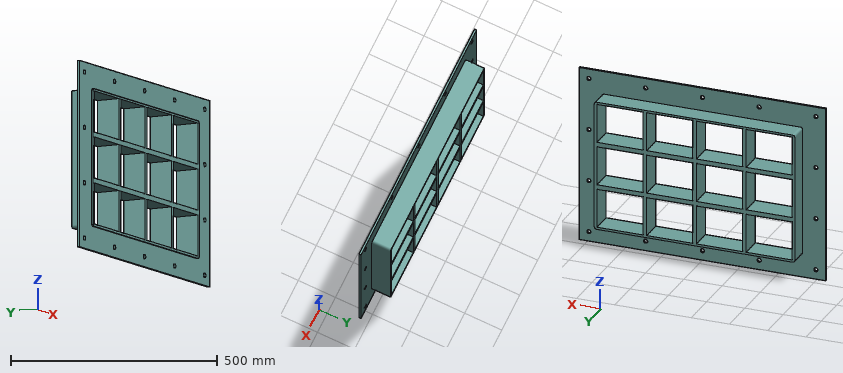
import cadquery as cq

plate_width = 644.0
plate_height = 459.0
plate_thickness = 6.0

columns = 4
rows = 3
opening_width = 120.5
opening_height = 101.0
upright_rib = 9.5
cross_rib = 12.0
column_pitch = opening_width + upright_rib
row_pitch = opening_height + cross_rib

side_wall = 7.0
end_wall = 6.0
duct_width = columns * opening_width + (columns - 1) * upright_rib + 2 * side_wall
duct_height = rows * opening_height + (rows - 1) * cross_rib + 2 * end_wall
duct_depth = 60.0
front_lip = 4.0
corner_radius = 6.5

hole_diameter = 10.0
hole_edge_distance = 25.0
holes_across = 5
holes_up = 4
hole_pitch_x = (plate_width - 2 * hole_edge_distance) / (holes_across - 1)
hole_pitch_z = (plate_height - 2 * hole_edge_distance) / (holes_up - 1)


def block(width, depth, height, front_y):
    """Box centred in X and Z that extends toward +Y from front_y."""
    return cq.Workplane("XY").box(width, depth, height).translate((0, front_y + depth / 2, 0))


def perimeter_points():
    """Centres of the mounting holes, skipping the interior of their grid."""
    points = []
    for i in range(holes_across):
        for j in range(holes_up):
            if i in (0, holes_across - 1) or j in (0, holes_up - 1):
                x = hole_edge_distance - plate_width / 2 + i * hole_pitch_x
                z = hole_edge_distance - plate_height / 2 + j * hole_pitch_z
                points.append((x, z))
    return points


plate = block(plate_width, plate_thickness, plate_height, 0)
duct = block(duct_width, duct_depth, duct_height, -front_lip).edges("|Y").fillet(corner_radius)
body = plate.union(duct)

openings = (
    cq.Workplane("XZ")
    .rarray(column_pitch, row_pitch, columns, rows)
    .rect(opening_width, opening_height)
    .extrude(duct_depth, both=True)
)

holes = (
    cq.Workplane("XZ")
    .pushPoints(perimeter_points())
    .circle(hole_diameter / 2)
    .extrude(duct_depth, both=True)
)

result = body.cut(openings).cut(holes)